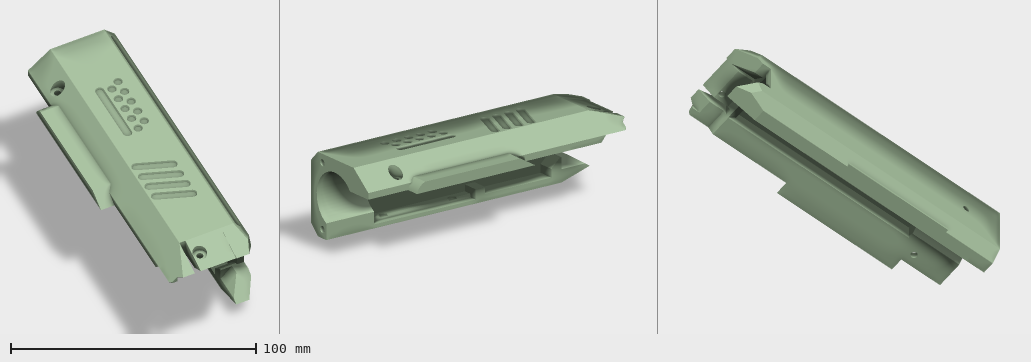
import cadquery as cq
import math


length = 133.9
height = 36.5
half_height = height / 2
shelf_depth = 39.5
foot_depth = 10.6
back_chamfer = 4.8
slope_start = 29.3
slope_drop = 8.0
gap_half = 7.4
margin = 1.3

bore_radius = 12.6
bore_depth = 16.6
pocket_start = 24.2
pocket_end = 114.0
ramp_end = 118.2
wall = 3.2
ramp_wall = 7.0
low_floor = 1.7
low_floor_end = 75.6
ledge_depth = 6.7
ledge_draft = 0.5
tab_length = 4.8
tab_height = 6.2
pad_depth = 3.5
pad_thickness = 1.3
seat_diameter = 3.9
seat_depth = 0.8
seat_places = (31.7, 66.7)

nose_start = 119.2
tip_drop = 4.0
jaw_flat_end = 123.2
underside_depth = 36.2
bevel_drop = 5.8
thin_start = 118.1
thin_end = 120.4
slit_start = 26.6
low_tip_drop = 4.3
low_tip_end = 133.5
corner_start = 123.6
corner_normal = (1, 2.2, 0.5)
slab_end_outline = [(130.1, shelf_depth), (131.2, 38.5), (131.2, underside_depth), (low_tip_end, 34.5)]

rail_depth = 45.7
rail_drop = 6.4
rail_start, rail_end = 20.1, 79.9
rail_top_start, rail_top_end = 24.2, 72.3
rail_nose_bulge = (21.7, 8.0)

screw_diameter = 3.0
head_diameter = 6.0
shelf_screw = (17.4, 34.5)
shelf_head_drop = 7.0
nose_screw = (126.0, 23.4)
nose_head_drop = 3.9
back_hole_x = 17.5
pin_depth, pin_drop, pin_length = 7.9, 3.9, 8.0
recess_width = 3.9
recess_depth = 0.8
recess_draft = 30
pattern_pitch = 6.0
dot_rows = ((28.3, 12.5), (30.8, 16.5))
dots_per_row = 5
bar_center, bar_length = (42.5, 21.4), 29.5
vent_upper, vent_lower = (78.9, 12.5), (73.6, 26.6)
vent_count = 4
groove_start, groove_end = 2.7, 119.4
groove_width = 3.5


def prism_y(points, near, far):
    """Prism of an (X, Z) outline between two distances from the back face."""
    return cq.Workplane("XZ").workplane(offset=near).polyline(points).close().extrude(far - near)


def prism_x(points, start, end):
    """Prism of a (Y, Z) outline between two X positions."""
    return cq.Workplane("YZ").workplane(offset=start).polyline(points).close().extrude(end - start)


def block(x_range, depth_range, z_range):
    """Box given by its X, distance-from-back and Z ranges."""
    size = [high - low for low, high in (x_range, depth_range, z_range)]
    corner = (x_range[0], -depth_range[1], z_range[0])
    return cq.Workplane("XY").box(*size, centered=False).translate(corner)


def both_halves(solid):
    """The solid joined with its mirror image about mid-height."""
    return solid.union(solid.mirror("XY"))


def make_body():
    outline = [
        (0, back_chamfer - half_height),
        (-back_chamfer, -half_height),
        (-foot_depth, -half_height),
        (-foot_depth, gap_half),
        (-shelf_depth, gap_half),
        (-shelf_depth, half_height - slope_drop),
        (-slope_start, half_height),
        (-back_chamfer, half_height),
        (0, half_height - back_chamfer),
    ]
    return prism_x(outline, 0, length)


def make_rail():
    top = half_height - rail_drop
    bulge_x, bulge_drop = rail_nose_bulge
    return (
        cq.Workplane("XZ").workplane(offset=slope_start)
        .moveTo(rail_start, gap_half)
        .threePointArc((bulge_x, half_height - bulge_drop), (rail_top_start, top))
        .lineTo(rail_top_end, top)
        .lineTo(rail_end, gap_half)
        .close()
        .extrude(rail_depth - slope_start)
    )


def make_pad():
    bottom = (-half_height, pad_thickness - half_height)
    return block((pocket_start, low_floor_end), (pad_depth, foot_depth), bottom)


def make_bore():
    return (
        cq.Workplane("YZ").center(-bore_depth, 0).circle(bore_radius).extrude(pocket_start + margin)
    )


def make_pocket():
    ceiling = half_height - wall
    ramp_foot = half_height - ramp_wall
    upper_half = [
        (pocket_start, 0),
        (pocket_start, ceiling),
        (pocket_end, ceiling),
        (pocket_end, ramp_foot),
        (ramp_end, gap_half),
        (nose_start, gap_half),
        (nose_start, 0),
    ]
    pocket = both_halves(prism_y(upper_half, wall, slope_start))
    tab = block(
        (low_floor_end, low_floor_end + tab_length),
        (wall, foot_depth),
        (-half_height, tab_height - half_height),
    )
    return pocket.cut(tab)


def make_low_floor():
    """Deeper floor in front of a drafted ledge, with shallow round seats in the ledge."""
    floor = low_floor - half_height
    ledge = wall - half_height
    front = -foot_depth - margin
    outline = [
        (-ledge_depth, ledge),
        (-ledge_depth - ledge_draft, floor),
        (front, floor),
        (front, ledge),
    ]
    seats = (
        cq.Workplane("XY").workplane(offset=ledge)
        .pushPoints([(x, -ledge_depth) for x in seat_places])
        .circle(seat_diameter / 2)
        .extrude(-seat_depth)
    )
    return prism_x(outline, pocket_start, low_floor_end).union(seats)


def make_taper(end_x, end_drop, near, far):
    """Cutter above a plane falling from the start of the nose to the given tip."""
    above = half_height + margin
    end_z = half_height - end_drop
    outline = [
        (nose_start, half_height),
        (end_x, end_z),
        (length + margin, end_z),
        (length + margin, above),
        (nose_start, above),
    ]
    return prism_y(outline, near, far)


def shape_nose(solid):
    tip = half_height - tip_drop
    beyond = length + margin
    above = half_height + margin
    past_shelf = shelf_depth + margin

    mouth = block((nose_start, beyond), (-margin, past_shelf), (-gap_half, gap_half))
    back_taper = make_taper(length, tip_drop, -margin, foot_depth)
    shelf_taper = make_taper(low_tip_end, low_tip_drop, foot_depth, past_shelf)
    lower_taper = make_taper(low_tip_end, low_tip_drop, -margin, foot_depth).mirror("XY")
    solid = solid.cut(mouth).cut(back_taper).cut(shelf_taper).cut(lower_taper)
    jaw_underside = prism_y(
        [(jaw_flat_end, gap_half), (length, tip), (length, gap_half)], -margin, underside_depth
    )
    jaw_bevel = prism_x(
        [
            (-foot_depth, half_height - bevel_drop),
            (-foot_depth, gap_half),
            (half_height - bevel_drop - gap_half - foot_depth, gap_half),
        ],
        nose_start, beyond,
    )
    corner_plane = cq.Plane(
        origin=(corner_start, 0, half_height - back_chamfer),
        xDir=(corner_normal[1], -corner_normal[0], 0),
        normal=corner_normal,
    )
    corner = cq.Workplane(corner_plane).rect(height, height).extrude(height)
    for cutter in (jaw_underside, jaw_bevel, corner):
        solid = solid.cut(both_halves(cutter))

    thin_top = half_height - slope_drop
    thinning = prism_y(
        [(thin_start, gap_half), (thin_end, thin_top), (beyond, thin_top), (beyond, gap_half)],
        foot_depth, past_shelf,
    )
    slit = block((nose_start, beyond), (slit_start, slope_start), (0, above))
    end_points = [(x, -depth) for x, depth in slab_end_outline]
    slab_trim = (
        cq.Workplane("XY")
        .polyline(end_points + [(beyond, end_points[-1][1]), (beyond, -shelf_depth)])
        .close()
        .extrude(above)
    )
    return solid.cut(thinning).cut(slit).cut(slab_trim)


def make_counterbore(place, head_drop):
    x, depth = place
    top = cq.Workplane("XY").workplane(offset=half_height).center(x, -depth)
    head = top.circle(head_diameter / 2).extrude(-head_drop)
    shank = top.circle(screw_diameter / 2).extrude(-half_height)
    return head.union(shank)


def make_back_hole():
    return cq.Workplane("XZ").center(back_hole_x, 0).circle(screw_diameter / 2).extrude(bore_depth)


def make_pin_holes():
    pin_height = half_height - pin_drop
    return (
        cq.Workplane("YZ")
        .pushPoints([(-pin_depth, pin_height), (-pin_depth, -pin_height)])
        .circle(screw_diameter / 2)
        .extrude(pin_length)
    )


def top_face():
    return cq.Workplane("XY").workplane(offset=half_height)


def cut_top_recesses(solid):
    for first_x, depth in dot_rows:
        for index in range(dots_per_row):
            dot = top_face().center(first_x + index * pattern_pitch, -depth).circle(recess_width / 2)
            solid = solid.cut(dot.extrude(-recess_depth, taper=recess_draft))

    bar = top_face().center(bar_center[0], -bar_center[1]).slot2D(bar_length, recess_width)
    solid = solid.cut(bar.extrude(-recess_depth, taper=recess_draft))

    run = vent_upper[0] - vent_lower[0]
    rise = vent_lower[1] - vent_upper[1]
    vent_length = math.hypot(run, rise) + recess_width
    vent_angle = math.degrees(math.atan2(rise, run))
    middle_x = (vent_upper[0] + vent_lower[0]) / 2
    middle_y = -(vent_upper[1] + vent_lower[1]) / 2
    for index in range(vent_count):
        vent = (
            top_face().center(middle_x + index * pattern_pitch, middle_y)
            .slot2D(vent_length, recess_width, vent_angle)
        )
        solid = solid.cut(vent.extrude(-recess_depth, taper=recess_draft))
    return solid


def make_chamfer_groove():
    half_chamfer = back_chamfer / 2
    chamfer_plane = cq.Plane(
        origin=((groove_start + groove_end) / 2, -half_chamfer, half_height - half_chamfer),
        xDir=(1, 0, 0),
        normal=(0, 1, 1),
    )
    groove = cq.Workplane(chamfer_plane).slot2D(groove_end - groove_start, groove_width)
    return groove.extrude(-recess_depth, taper=recess_draft)


result = make_body().union(make_rail()).union(make_pad())
result = result.cut(make_bore()).cut(make_pocket()).cut(make_low_floor())
result = shape_nose(result)
result = result.cut(make_counterbore(shelf_screw, shelf_head_drop))
result = result.cut(make_counterbore(nose_screw, nose_head_drop))
result = result.cut(make_back_hole()).cut(make_pin_holes())
result = cut_top_recesses(result).cut(make_chamfer_groove())